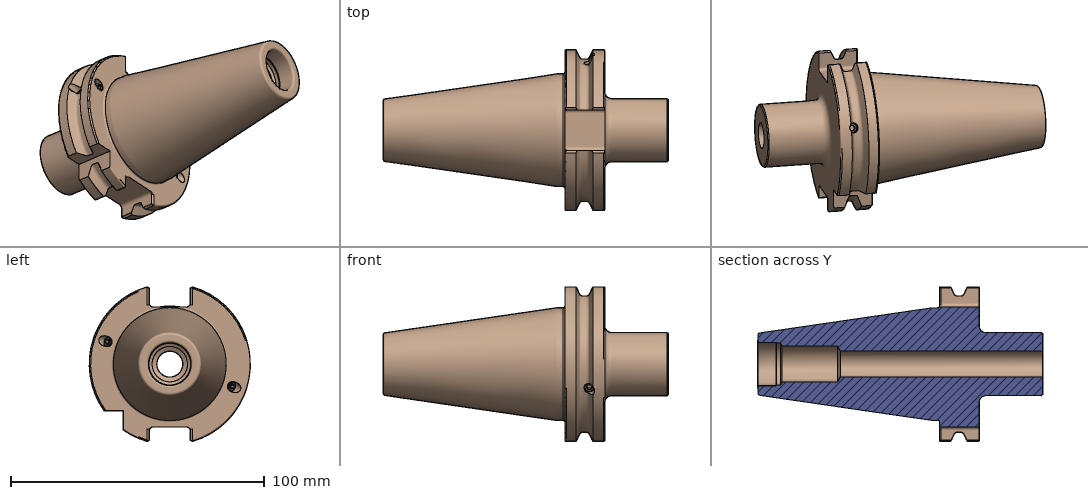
import cadquery as cq
import math

total_length = 112.4
gauge_x = 68.4
flange_x = 71.6
flange_width = 15.7

taper_rate = 7 / 24
gauge_radius = 22.2
nose_fillet = 1.0
collar_flare = 0.7
shank_radius = 24.9 / 2
shank_chamfer = 0.5
neck_fillet = 2.8

flange_radius = 63.5 / 2
rim_fillet = 0.6
groove_x = 79.3
groove_mouth = 6.7
groove_floor_radius = 28.1
groove_half_angle = 26.0
groove_fillet = 1.1
groove_overcut = 1.1

slot_width = 16.1
upper_slot_floor = 22.6
lower_slot_floor = 24.8
slot_fillet = 1.3
slot_edge_width = 0.9
slot_edge_drop = 0.6

notch_corner = 18.4

bore_mouth_radius = 9.3
counterbore_radius = 8.4
counterbore_depth = 7.2
guide_radius = 8.2
guide_end_x = 9.0
thread_radius = 7.0
thread_end_x = 31.5
through_radius = 5.0
bore_cone_angle = 60.0

screw_radius = 2.0
screw_length = 4.0
socket_width = 2.0
socket_depth = 1.8
screw_chamfer = 0.3
screw_hole_reach = 5.0
screw_angle = 19.7
face_screw_tilt = 40.0
face_hole_radius = 27.0
face_screw_recess = 1.5
groove_screw_x = 81.2
groove_screw_radius = 27.0

flange_end_x = flange_x + flange_width
nose_radius = gauge_radius - gauge_x * taper_rate / 2
groove_floor_width = groove_mouth - 2 * (flange_radius - groove_floor_radius) * math.tan(
    math.radians(groove_half_angle)
)


def revolve_about_x(outline):
    """Revolve a closed outline of (x, radius) about the X axis."""
    return outline.close().revolve(360, (0, 0, 0), (1, 0, 0))


def outer_shape():
    """Taper, collar, flange, neck and shank as one turned shape."""
    return revolve_about_x(
        cq.Workplane("XZ")
        .moveTo(0, 0)
        .lineTo(0, nose_radius)
        .lineTo(gauge_x, gauge_radius)
        .lineTo(flange_x - collar_flare, gauge_radius)
        .radiusArc((flange_x, gauge_radius + collar_flare), -collar_flare)
        .lineTo(flange_x, flange_radius - rim_fillet)
        .radiusArc((flange_x + rim_fillet, flange_radius), rim_fillet)
        .lineTo(flange_end_x - rim_fillet, flange_radius)
        .radiusArc((flange_end_x, flange_radius - rim_fillet), rim_fillet)
        .lineTo(flange_end_x, shank_radius + neck_fillet)
        .radiusArc((flange_end_x + neck_fillet, shank_radius), -neck_fillet)
        .lineTo(total_length - shank_chamfer, shank_radius)
        .lineTo(total_length, shank_radius - shank_chamfer)
        .lineTo(total_length, 0)
    ).faces("<X").edges().fillet(nose_fillet)


def v_groove():
    """Ring that cuts the gripper groove, with rounded floor corners."""
    ring = revolve_about_x(
        cq.Workplane("XZ")
        .moveTo(groove_x - groove_floor_width / 2, groove_floor_radius)
        .lineTo(groove_x - groove_mouth / 2, flange_radius)
        .lineTo(groove_x - groove_mouth / 2, flange_radius + groove_overcut)
        .lineTo(groove_x + groove_mouth / 2, flange_radius + groove_overcut)
        .lineTo(groove_x + groove_mouth / 2, flange_radius)
        .lineTo(groove_x + groove_floor_width / 2, groove_floor_radius)
    )
    inner = cq.selectors.RadiusNthSelector(0)
    return ring.edges(inner).fillet(groove_fillet)


def drive_slot(floor):
    """Slot through the flange at +Z, with chamfered wall edges."""
    half = slot_width / 2
    wide = half + slot_edge_width
    tip_z = math.sqrt(flange_radius**2 - wide**2)
    slot = (
        cq.Workplane("YZ", origin=(flange_x, 0, 0))
        .moveTo(-half, floor)
        .lineTo(half, floor)
        .lineTo(half, tip_z - slot_edge_drop)
        .lineTo(wide, tip_z)
        .lineTo(wide, flange_radius)
        .lineTo(-wide, flange_radius)
        .lineTo(-wide, tip_z)
        .lineTo(-half, tip_z - slot_edge_drop)
        .close()
        .extrude(flange_width)
        .edges("|X and <Z")
        .fillet(slot_fillet)
    )
    face_chamfer = (
        cq.Workplane("XY", origin=(0, 0, floor + slot_fillet / 2))
        .moveTo(flange_x, -wide)
        .lineTo(flange_x, wide)
        .lineTo(flange_x + slot_edge_drop, half)
        .lineTo(flange_x + slot_edge_drop, -half)
        .close()
        .extrude(flange_radius - floor)
    )
    return slot.union(face_chamfer)


def orientation_notch():
    """Square corner cut through the flange at +Y, -Z."""
    side = flange_radius - notch_corner
    return cq.Workplane("XY").box(flange_width, side, side, centered=False).translate(
        (flange_x, notch_corner, -flange_radius)
    )


def bore():
    """Stepped bore: rounded mouth, counterbore, guide, thread core and through hole."""
    mouth_fillet = bore_mouth_radius - counterbore_radius
    guide_step = counterbore_radius - guide_radius
    slope = 1 / math.tan(math.radians(bore_cone_angle))
    return revolve_about_x(
        cq.Workplane("XZ")
        .moveTo(0, 0)
        .lineTo(0, bore_mouth_radius)
        .radiusArc((mouth_fillet, counterbore_radius), -mouth_fillet)
        .lineTo(counterbore_depth, counterbore_radius)
        .lineTo(counterbore_depth + guide_step, guide_radius)
        .lineTo(guide_end_x, guide_radius)
        .lineTo(guide_end_x + (guide_radius - thread_radius) * slope, thread_radius)
        .lineTo(thread_end_x, thread_radius)
        .lineTo(thread_end_x + (thread_radius - through_radius) * slope, through_radius)
        .lineTo(total_length, through_radius)
        .lineTo(total_length, 0)
    )


def face_screw_plane(side):
    """Plane on the flange face, its normal running out along a tilted coolant hole."""
    tilt = math.radians(face_screw_tilt)
    angle = math.radians(screw_angle)
    out_y = side * math.cos(angle)
    out_z = side * math.sin(angle)
    return cq.Plane(
        origin=(flange_x, face_hole_radius * out_y, face_hole_radius * out_z),
        xDir=(0, -out_z, out_y),
        normal=(-math.cos(tilt), math.sin(tilt) * out_y, math.sin(tilt) * out_z),
    )


def groove_screw_plane(side):
    """Plane on the outer end of a radial groove screw, its normal pointing outward."""
    angle = math.radians(screw_angle)
    out_y = side * math.cos(angle)
    out_z = side * math.sin(angle)
    return cq.Plane(
        origin=(groove_screw_x, groove_screw_radius * out_y, groove_screw_radius * out_z),
        xDir=(1, 0, 0),
        normal=(0, out_y, out_z),
    )


def screw_hole(plane, recess):
    """Blind hole that ends at the inner end of the screw and opens outward."""
    depth = recess + screw_length
    return cq.Workplane(plane).workplane(offset=-depth).circle(screw_radius).extrude(depth + screw_hole_reach)


def set_screw(plane, recess):
    """Set screw with a hexagon socket, its outer end sunk below the plane."""
    head = cq.Workplane(plane).workplane(offset=-recess)
    socket_corners = socket_width / math.cos(math.pi / 6)
    body = head.circle(screw_radius).extrude(-screw_length)
    body = body.edges(cq.selectors.NearestToPointSelector(head.plane.origin)).chamfer(screw_chamfer)
    return body.cut(head.polygon(6, socket_corners).extrude(-socket_depth))


holder = outer_shape().cut(v_groove()).cut(bore()).cut(orientation_notch())
holder = holder.cut(drive_slot(upper_slot_floor))
holder = holder.cut(drive_slot(lower_slot_floor).rotate((0, 0, 0), (1, 0, 0), 180))

face_screws = []
groove_screws = []
for side in (1, -1):
    face_plane = face_screw_plane(side)
    holder = holder.cut(screw_hole(face_plane, face_screw_recess))
    face_screws.append(set_screw(face_plane, face_screw_recess).val())

    groove_plane = groove_screw_plane(side)
    holder = holder.cut(screw_hole(groove_plane, 0))
    groove_screws.append(set_screw(groove_plane, 0).val())

result = cq.Compound.makeCompound([holder.val(), *face_screws, *groove_screws])